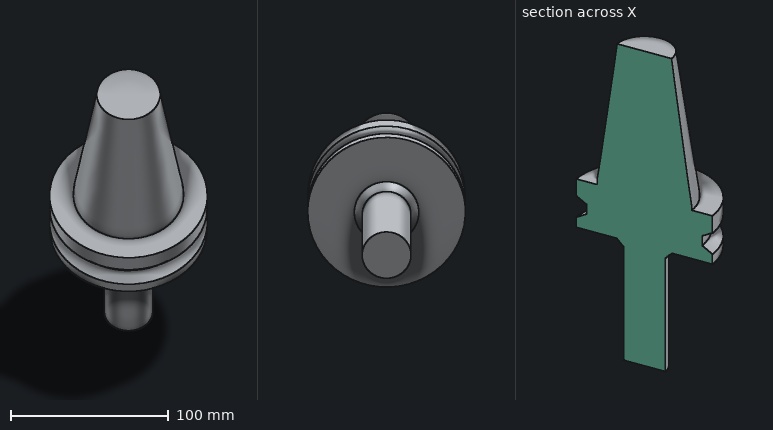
import cadquery as cq

shank_diameter = 31.0
neck_diameter = 40.9
flange_diameter = 100.0
groove_diameter = 85.0
taper_large_diameter = 69.8
taper_small_diameter = 40.2

total_height = 225.8
taper_length = 101.8
flange_gap = 3.0
flange_thickness = 35.0
neck_height = 4.7
lower_rim_thickness = 7.5
upper_rim_thickness = 12.5
groove_floor_width = 6.5

taper_base_z = total_height - taper_length
flange_top_z = taper_base_z - flange_gap
flange_bottom_z = flange_top_z - flange_thickness
neck_bottom_z = flange_bottom_z - neck_height

groove_bottom_z = flange_bottom_z + lower_rim_thickness
groove_top_z = flange_top_z - upper_rim_thickness
groove_middle_z = (groove_bottom_z + groove_top_z) / 2
groove_floor_bottom_z = groove_middle_z - groove_floor_width / 2
groove_floor_top_z = groove_middle_z + groove_floor_width / 2

profile = [
    (0, 0),
    (shank_diameter / 2, 0),
    (shank_diameter / 2, neck_bottom_z),
    (neck_diameter / 2, flange_bottom_z),
    (flange_diameter / 2, flange_bottom_z),
    (flange_diameter / 2, groove_bottom_z),
    (groove_diameter / 2, groove_floor_bottom_z),
    (groove_diameter / 2, groove_floor_top_z),
    (flange_diameter / 2, groove_top_z),
    (flange_diameter / 2, flange_top_z),
    (taper_large_diameter / 2, flange_top_z),
    (taper_large_diameter / 2, taper_base_z),
    (taper_small_diameter / 2, total_height),
    (0, total_height),
]

result = cq.Workplane("XZ").polyline(profile).close().revolve(360, (0, 0, 0), (0, 1, 0))